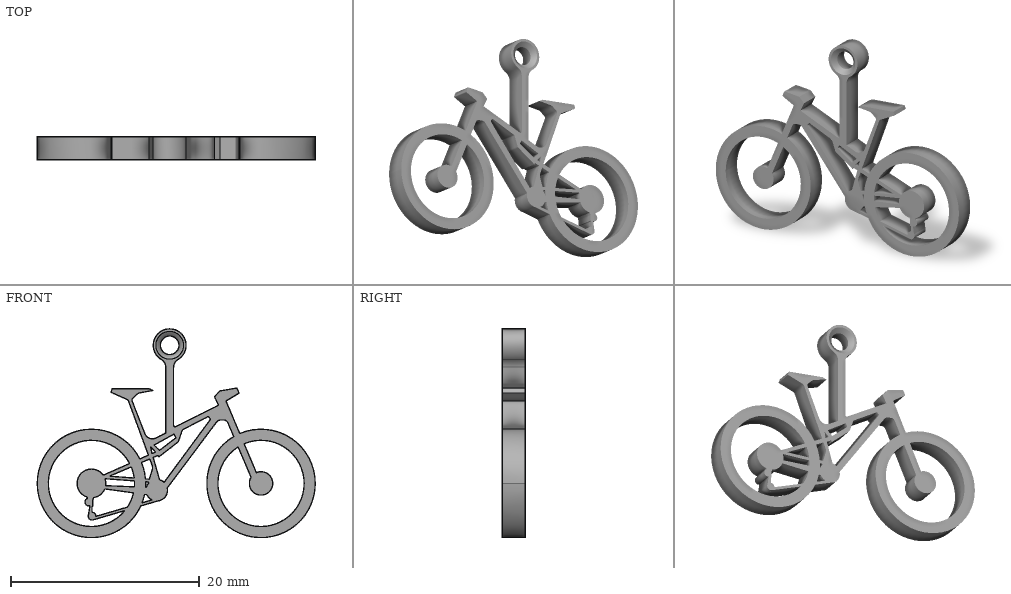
import cadquery as cq
import math

WIDTH = 2.47

WHEEL_BASE = 17.95
TYRE_RADIUS = 5.75
RIM_RADIUS = 4.55
REAR_HUB_RADIUS = 1.53
FRONT_HUB_RADIUS = 1.25
REAR_AXLE = (0, 0)
FRONT_AXLE = (WHEEL_BASE, 0)

OVERALL_HEIGHT = 22.12
EYE_RADIUS = 1.75
EYE_X = 8.28
EYE_Z = OVERALL_HEIGHT - TYRE_RADIUS - EYE_RADIUS
BORE_RADIUS = 0.97
COUNTERSINK = 0.5
POST_HALF_WIDTH = 0.43
FLARE_RADIUS = 0.95
POST_LEFT = EYE_X - POST_HALF_WIDTH
POST_RIGHT = EYE_X + POST_HALF_WIDTH

CRANK_CENTRE = (6.91, -0.72)
CRANK_RADIUS = 1.15
UPPER_PULLEY = (-0.27, -1.97)
LOWER_PULLEY = (0.06, -3.46)
PULLEY_RADIUS = 0.42
CHAIN_WIDTH = 0.3
CHAIN_START = (0.1, -3.74)
CHAIN_END = (7.1, -1.69)

LINK_WIDTH = 0.33
LINK_START = (1.0, 0.68)
LINK_END = (6.5, 0.27)

FRAME_OUTLINE = [
    (*CRANK_CENTRE, 0),
    (6.0, 0.1, 0),
    (6.5, 1.68, 0.8),
    (3.87, 8.83, 0.4),
    (2.05, 9.64, 0),
    (2.19, 10.03, 0),
    (6.1, 10.03, 0),
    (6.52, 9.83, 0),
    (4.95, 9.54, 0.8),
    (4.25, 8.9, 0.3),
    (6.0, 4.4, 0.85),
    (POST_LEFT, 5.34, 0),
    (POST_LEFT, EYE_Z, 0),
    (POST_RIGHT, EYE_Z, 0),
    (POST_RIGHT, 5.91, 0.15),
    (13.45, 8.28, 0),
    (13.01, 9.17, 0),
    (13.59, 9.8, 0),
    (15.4, 10.11, 0.1),
    (15.64, 9.56, 0.1),
    (14.25, 8.72, 0),
    (17.48, 1.11, 0),
    (*FRONT_AXLE, 0),
    (16.87, 0.68, 0),
    (14.31, 6.69, 0.4),
    (13.4, 6.69, 0.5),
    (8.02, -0.5, 0),
]
MAIN_WINDOW = [
    (6.55, 2.74, 0),
    (7.06, 2.96, 0),
    (7.14, 2.8, 0),
    (9.2, 4.4, 0.3),
    (9.63, 5.66, 0.15),
    (12.36, 7.07, 0.06),
    (12.6, 6.8, 0.1),
    (7.6, 0.0, 0.1),
    (7.25, 0.28, 0.1),
]
SHOCK_WINDOW = [
    (6.64, 4.05, 0),
    (8.74, 5.21, 0.05),
    (8.93, 4.83, 0.05),
    (7.19, 3.5, 0),
]
LINK_WINDOW = [
    (6.27, 3.87, 0),
    (6.77, 3.32, 0),
    (6.42, 3.16, 0),
]
SEAT_STAY = [
    (0.8, 0.68, 0),
    (6.4, 3.17, 0),
    (6.5, 2.72, 0),
    (0.8, 0.27, 0),
]
CHAIN_STAY = [
    (1.0, -0.2, 0),
    (6.4, -0.43, 0),
    (6.4, -1.28, 0),
    (1.0, -0.54, 0),
]
DERAILLEUR_CAGE = [
    (-0.46, -1.3, 0),
    (-0.46, -2.0, 0),
    (-0.18, -2.38, 0),
    (-0.34, -3.46, 0),
    (0.06, -3.46, 0),
    (0.06, -2.44, 0),
    (0.15, -2.38, 0),
    (0.15, -1.77, 0),
    (0.3, -1.3, 0),
]


def sketch_plane():
    """XZ plane on the front face; solids grow from it along +Y."""
    return cq.Workplane("XZ", origin=(0, -WIDTH / 2, 0))


def unit_toward(start, end):
    """Unit vector in XZ from start to end."""
    length = math.dist(start, end)
    return ((end[0] - start[0]) / length, (end[1] - start[1]) / length)


def corner_arc(before, corner, after):
    """Start, middle and end of the arc that rounds one corner."""
    point, radius = corner[:2], corner[2]
    back = unit_toward(point, before[:2])
    ahead = unit_toward(point, after[:2])
    half_angle = math.acos(back[0] * ahead[0] + back[1] * ahead[1]) / 2
    setback = radius / math.tan(half_angle)
    apex = radius / math.sin(half_angle) - radius
    bisector = unit_toward((0, 0), (back[0] + ahead[0], back[1] + ahead[1]))
    return [
        (point[0] + direction[0] * distance, point[1] + direction[1] * distance)
        for direction, distance in ((back, setback), (bisector, apex), (ahead, setback))
    ]


def plate(corners):
    """Full-width solid bounded by straight edges and rounded corners."""
    outline = sketch_plane().moveTo(*corners[0][:2])
    for index in range(1, len(corners)):
        corner = corners[index]
        if corner[2] == 0:
            outline = outline.lineTo(*corner[:2])
            continue
        following = corners[(index + 1) % len(corners)]
        start, middle, end = corner_arc(corners[index - 1], corner, following)
        outline = outline.lineTo(*start).threePointArc(middle, end)
    return outline.close().extrude(-WIDTH)


def disc(centre, radius):
    return sketch_plane().center(*centre).circle(radius).extrude(-WIDTH)


def bar(start, end, width):
    """Straight bar of constant width between two points."""
    along = unit_toward(start, end)
    side_x = -along[1] * width / 2
    side_z = along[0] * width / 2
    return plate([
        (start[0] + side_x, start[1] + side_z, 0),
        (end[0] + side_x, end[1] + side_z, 0),
        (end[0] - side_x, end[1] - side_z, 0),
        (start[0] - side_x, start[1] - side_z, 0),
    ])


def wheel(axle, hub_radius):
    tyre = disc(axle, TYRE_RADIUS).cut(disc(axle, RIM_RADIUS))
    return tyre, disc(axle, hub_radius)


def frame():
    body = plate(FRAME_OUTLINE)
    for window in (MAIN_WINDOW, SHOCK_WINDOW, LINK_WINDOW):
        body = body.cut(plate(window))
    return body


def post_flare():
    """Web whose concave arcs blend the post into the eye."""
    arc_x = POST_HALF_WIDTH + FLARE_RADIUS
    arc_drop = math.sqrt((EYE_RADIUS + FLARE_RADIUS) ** 2 - arc_x ** 2)
    contact = EYE_RADIUS / (EYE_RADIUS + FLARE_RADIUS)
    eye_x = arc_x * contact
    eye_z = -arc_drop * contact
    toward_middle = unit_toward((arc_x, -arc_drop), (POST_HALF_WIDTH + eye_x - arc_x, eye_z))
    middle_x = arc_x + FLARE_RADIUS * toward_middle[0]
    middle_z = -arc_drop + FLARE_RADIUS * toward_middle[1]
    return (
        sketch_plane()
        .center(EYE_X, EYE_Z)
        .moveTo(-POST_HALF_WIDTH, -arc_drop)
        .threePointArc((-middle_x, middle_z), (-eye_x, eye_z))
        .lineTo(eye_x, eye_z)
        .threePointArc((middle_x, middle_z), (POST_HALF_WIDTH, -arc_drop))
        .close()
        .extrude(-WIDTH)
    )


def eye_opening():
    """Bore with a 45 degree countersink at both ends."""
    half_width = WIDTH / 2
    mouth_radius = BORE_RADIUS + COUNTERSINK
    throat = half_width - COUNTERSINK
    return (
        cq.Workplane("XY", origin=(EYE_X, 0, EYE_Z))
        .moveTo(0, -half_width)
        .lineTo(mouth_radius, -half_width)
        .lineTo(BORE_RADIUS, -throat)
        .lineTo(BORE_RADIUS, throat)
        .lineTo(mouth_radius, half_width)
        .lineTo(0, half_width)
        .close()
        .revolve(360, (0, 0, 0), (0, 1, 0))
    )


def build():
    members = [
        *wheel(REAR_AXLE, REAR_HUB_RADIUS),
        *wheel(FRONT_AXLE, FRONT_HUB_RADIUS),
        disc(CRANK_CENTRE, CRANK_RADIUS),
        disc(UPPER_PULLEY, PULLEY_RADIUS),
        disc(LOWER_PULLEY, PULLEY_RADIUS),
        disc((EYE_X, EYE_Z), EYE_RADIUS),
        post_flare(),
        plate(SEAT_STAY),
        plate(CHAIN_STAY),
        plate(DERAILLEUR_CAGE),
        bar(LINK_START, LINK_END, LINK_WIDTH),
        bar(CHAIN_START, CHAIN_END, CHAIN_WIDTH),
    ]
    bicycle = frame()
    for member in members:
        bicycle = bicycle.union(member)
    return bicycle.cut(eye_opening()).clean()


result = build()